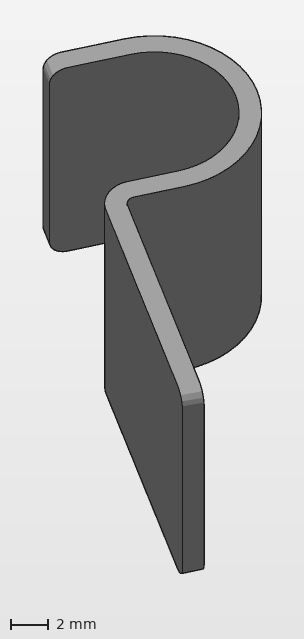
import cadquery as cq

thickness = 1.2
width = 14.0
hook_inner_radius = 4.5
hook_height = 4.5
bend_inner_radius = 0.5
overall_length = 26.4
corner_radius = 1.0

hook_outer_radius = hook_inner_radius + thickness
bend_outer_radius = bend_inner_radius + thickness
bend_center_x = hook_outer_radius + bend_inner_radius
bend_center_y = bend_outer_radius
flange_end_x = overall_length - hook_outer_radius


def make_strip():
    """Bent strip: free leg, half-round hook, inner leg, bend and flange."""
    return (
        cq.Workplane("XY")
        .moveTo(-hook_outer_radius, 0)
        .lineTo(-hook_outer_radius, hook_height)
        .threePointArc((0, hook_height + hook_outer_radius), (hook_outer_radius, hook_height))
        .lineTo(hook_outer_radius, bend_center_y)
        .radiusArc((bend_center_x, thickness), -bend_inner_radius)
        .lineTo(flange_end_x, thickness)
        .lineTo(flange_end_x, 0)
        .lineTo(bend_center_x, 0)
        .radiusArc((hook_inner_radius, bend_center_y), bend_outer_radius)
        .lineTo(hook_inner_radius, hook_height)
        .threePointArc((0, hook_height + hook_inner_radius), (-hook_inner_radius, hook_height))
        .lineTo(-hook_inner_radius, 0)
        .close()
        .extrude(width)
    )


def round_free_corners(strip):
    """Round the corners at the tip of the free leg and the end of the flange."""
    leg_tip_corners = cq.selectors.BoxSelector(
        (-hook_outer_radius - thickness, -thickness, -thickness),
        (-hook_inner_radius + thickness, thickness, width + thickness),
    )
    strip = strip.edges("|X").edges(leg_tip_corners).edges("<Y").fillet(corner_radius)
    return strip.faces(">X").edges("|Y").fillet(corner_radius)


result = round_free_corners(make_strip())